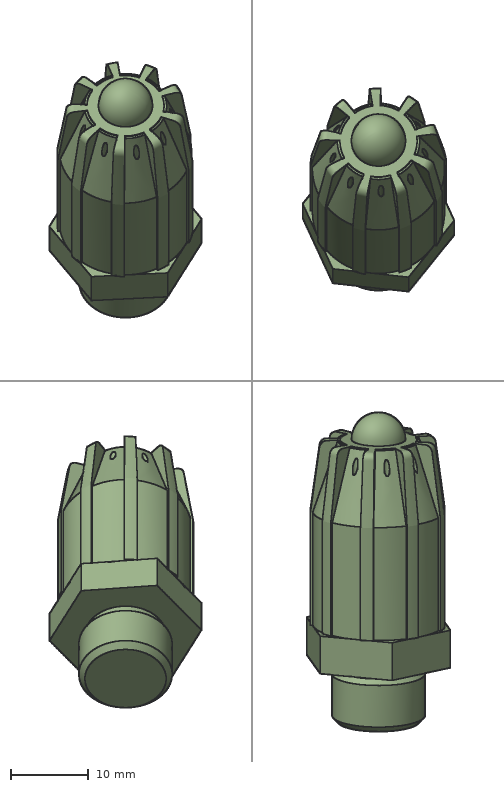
import cadquery as cq
import math

hex_bottom = 8.0
hex_height = 5.0
body_height = 15.0
dome_radius = 3.5
total_height = 41

body_bottom = hex_bottom + hex_height
cone_bottom = body_bottom + body_height
crown_top = total_height - dome_radius

stud_radius = 12.0 / 2
neck_radius = 10.45 / 2
neck_height = 1.0
neck_taper = 0.65
tip_taper = 0.8

hex_sides = 6
hex_corner_diameter = 19.65
hex_flat_radius = hex_corner_diameter / 2 * math.cos(math.pi / hex_sides)

body_radius = hex_flat_radius
cone_top_radius = 5.3
hub_radius = 4.95
hub_step = 0.12

fin_count = 9
fin_angle = 11
fin_radius = 17.6 / 2
fin_top_radius = 7.5
fin_rounding = 1.0

hole_diameter = 0.7
hole_circle_radius = 6.03

fin_pitch = 360 / fin_count
first_fin_direction = 90
first_hole_direction = first_fin_direction + fin_pitch / 2


def revolve_about_z(profile):
    """Revolve a closed (radius, height) outline a full turn about the Z axis."""
    return profile.revolve(360, (0, 0, 0), (0, 1, 0))


def make_stud():
    taper_top = hex_bottom - neck_height
    outline = (
        cq.Workplane("XZ")
        .lineTo(neck_radius, 0)
        .lineTo(stud_radius, tip_taper)
        .lineTo(stud_radius, taper_top - neck_taper)
        .lineTo(neck_radius, taper_top)
        .lineTo(neck_radius, hex_bottom)
        .lineTo(0, hex_bottom)
        .close()
    )
    return revolve_about_z(outline)


def make_hexagon():
    return (
        cq.Workplane("XY", origin=(0, 0, hex_bottom))
        .transformed(rotate=(0, 0, 90))
        .polygon(hex_sides, hex_corner_diameter)
        .extrude(hex_height)
    )


def make_sleeve():
    step_height = crown_top - hub_step
    outline = (
        cq.Workplane("XZ")
        .moveTo(0, body_bottom)
        .lineTo(body_radius, body_bottom)
        .lineTo(body_radius, cone_bottom)
        .lineTo(cone_top_radius, step_height)
        .lineTo(hub_radius, step_height)
        .lineTo(hub_radius, crown_top)
        .lineTo(0, crown_top)
        .close()
    )
    return revolve_about_z(outline)


def make_dome():
    outline = (
        cq.Workplane("XZ")
        .moveTo(0, crown_top)
        .lineTo(dome_radius, crown_top)
        .radiusArc((0, total_height), -dome_radius)
        .close()
    )
    return revolve_about_z(outline)


def make_fin():
    """One wedge-shaped fin lying along +X, with its upper outer edge rounded."""
    wedge = (
        cq.Workplane("XZ")
        .moveTo(0, body_bottom)
        .lineTo(fin_radius, body_bottom)
        .lineTo(fin_radius, cone_bottom)
        .lineTo(fin_top_radius, crown_top)
        .lineTo(0, crown_top)
        .close()
        .revolve(fin_angle, (0, 0, 0), (0, 1, 0))
        .rotate((0, 0, 0), (0, 0, 1), -fin_angle / 2)
    )
    outer_top_edge = cq.selectors.NearestToPointSelector((fin_top_radius, 0, crown_top))
    return wedge.edges(outer_top_edge).fillet(fin_rounding)


def make_jet_holes():
    return (
        cq.Workplane("XY", origin=(0, 0, cone_bottom))
        .polarArray(hole_circle_radius, first_hole_direction, 360, fin_count)
        .circle(hole_diameter / 2)
        .extrude(crown_top - cone_bottom)
    )


body = make_stud().union(make_hexagon()).union(make_sleeve()).union(make_dome())

fin = make_fin()
for index in range(fin_count):
    direction = first_fin_direction + index * fin_pitch
    body = body.union(fin.rotate((0, 0, 0), (0, 0, 1), direction))

body = body.cut(make_jet_holes())

result = body.solids()